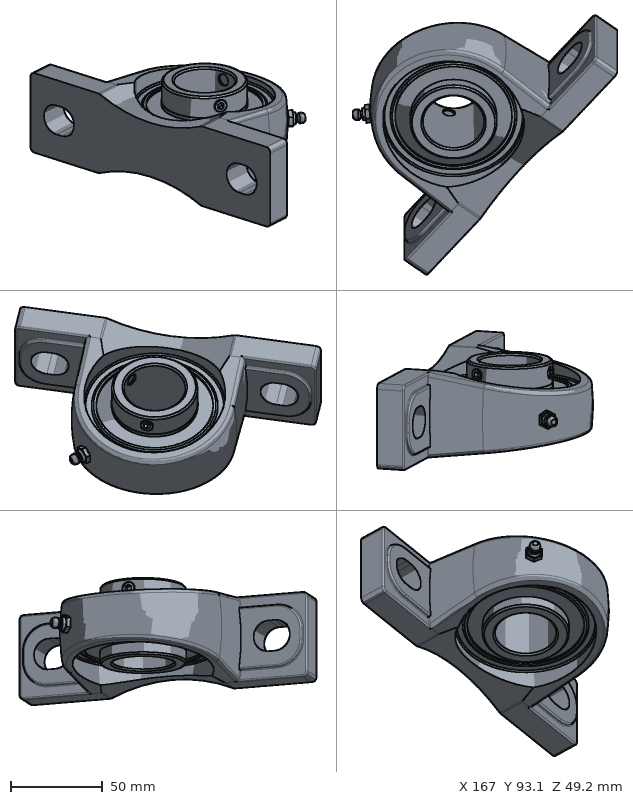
import cadquery as cq
import math


foot_length = 167.0
foot_height = 15.5
foot_width = 47.5
foot_corner_radius = 2.8
foot_edge_radius = 1.0
slot_offset = 63.6
slot_length = 20.9
slot_width = 17.2
pad_outer_x = 80.8
pad_inner_x = 33.4
pad_width = 34.7
pad_rise = 1.8
pad_corner_radius = 14.5
pad_edge_radius = 1.0
root_fillet_radius = 0.5

axis_height = 47.6
arch_radius = 45.5
arch_top = axis_height + arch_radius
arch_top_width = 26.4
barrel_radius = 116.9
side_flare_angle = 1.0
arch_edge_radius = 2.5
opening_diameter = 77.0
opening_chamfer = 0.8
floor_height = 10.4

scoop_radius = 86.8
scoop_depth = 7.7
scoop_blend_radius = 2.5

seat_diameter = 72.0
outer_ring_width = 22.0
outer_ring_bore = 63.8
outer_ring_chamfer = 0.8
seal_inner_height = 10.9
seal_outer_height = 9.9
seal_thickness = 1.5
inner_ring_bore = 33.4
collar_diameter = 46.8
shoulder_diameter = 47.3
collar_top = 25.4
shoulder_height = 12.9
inner_ring_bottom = 17.5
inner_ring_chamfer = 1.0

screw_angles = (90, -30)
screw_diameter = 6.8
screw_height = 19.5
screw_inner_radius = 17.7
screw_outer_radius = 24.2
socket_across_flats = 3.3
socket_depth = 3.0

nipple_angle = 45
nipple_hex_flats = 8.7
nipple_stem_start = 41.8
nipple_stem_diameter = 6.0
nipple_hex_start = 45.8
nipple_hex_end = 48.3
nipple_cone_end = 50.0
nipple_cone_diameters = (7.7, 6.3)
nipple_neck_diameter = 4.0
nipple_neck_end = 51.0
nipple_head_start = 52.1
nipple_head_end = 53.0
nipple_head_diameter = 6.0
nipple_tip_end = 55.3
nipple_tip_diameter = 3.0
nipple_dome_middle = 54.3
nipple_dome_diameter = 5.3

hexagon_sides = 6
across_corners = 2 / math.sqrt(3)
mirror_signs = (1, -1)
edge_margin = 0.2


def polar_plane(angle, height, radius):
    """Plane facing outward from the shaft axis, at an angle about it."""
    direction = cq.Vector(math.cos(math.radians(angle)), math.sin(math.radians(angle)), 0)
    origin = cq.Vector(0, axis_height, height) + direction * radius
    return cq.Plane(origin=origin, xDir=(0, 0, 1), normal=direction)


def revolved(points):
    """Ring about the shaft axis, from (radius, height) points."""
    ring = cq.Workplane("XZ").polyline(points).close().revolve(360, (0, 0), (0, 1))
    return ring.translate((0, axis_height, 0))


def make_arch():
    """Barrel-sided arch, thinning towards its crown, with rounded rims."""
    rim_slope = (foot_width - arch_top_width) / 2 / (arch_top - foot_height)
    base_half_width = foot_width / 2 + rim_slope * foot_height
    rim_radius = arch_radius - barrel_radius + math.sqrt(barrel_radius**2 - base_half_width**2)

    crown = (
        cq.Workplane("XZ")
        .moveTo(0, -base_half_width)
        .lineTo(rim_radius, -base_half_width)
        .threePointArc((arch_radius, 0), (rim_radius, base_half_width))
        .lineTo(0, base_half_width)
        .close()
        .revolve(360, (0, 0), (0, 1))
        .translate((0, axis_height, 0))
    )
    legs = (
        cq.Workplane("XZ", origin=(0, axis_height, 0))
        .moveTo(-rim_radius, -base_half_width)
        .lineTo(rim_radius, -base_half_width)
        .threePointArc((arch_radius, 0), (rim_radius, base_half_width))
        .lineTo(-rim_radius, base_half_width)
        .threePointArc((-arch_radius, 0), (-rim_radius, -base_half_width))
        .close()
        .extrude(axis_height, taper=-side_flare_angle)
    )
    wedge = (
        cq.Workplane("YZ")
        .moveTo(0, -base_half_width)
        .lineTo(arch_top, -arch_top_width / 2)
        .lineTo(arch_top, arch_top_width / 2)
        .lineTo(0, base_half_width)
        .close()
        .extrude(foot_length / 2, both=True)
    )
    above_axis = cq.Workplane("XY").box(foot_length, arch_top, foot_length)
    above_axis = above_axis.translate((0, axis_height + arch_top / 2, 0))
    arch = crown.intersect(above_axis).union(legs).intersect(wedge)
    front_rim = arch.faces(">Z").edges("not <Y")
    back_rim = arch.faces("<Z").edges("not <Y")
    arch = arch.newObject(front_rim.vals() + back_rim.vals()).fillet(arch_edge_radius)
    foot_slab = cq.Workplane("XY").box(foot_length, 2 * arch_top, foot_width)
    return arch.intersect(foot_slab)


def make_foot():
    """Rounded base slab with a raised pad around each mounting slot."""
    foot = (
        cq.Workplane("XY")
        .box(foot_length, foot_height, foot_width)
        .translate((0, foot_height / 2, 0))
        .edges("|Y")
        .fillet(foot_corner_radius)
        .faces(">Y")
        .edges()
        .fillet(foot_edge_radius)
    )
    pad_length = pad_outer_x - pad_inner_x
    for side in mirror_signs:
        pad = (
            cq.Workplane("XY")
            .box(pad_length, foot_height + pad_rise, pad_width)
            .translate((side * (pad_inner_x + pad_outer_x) / 2, (foot_height + pad_rise) / 2, 0))
            .edges("|Y")
            .edges(">X" if side > 0 else "<X")
            .fillet(pad_corner_radius)
            .faces(">Y")
            .edges()
            .fillet(pad_edge_radius)
        )
        foot = foot.union(pad)
    return foot


def make_opening(side):
    """Cutter for the round opening on one side of the central web; side is the sign of its Z."""
    opening_radius = opening_diameter / 2
    return revolved(
        [
            (0, side * floor_height),
            (opening_radius - opening_chamfer, side * floor_height),
            (opening_radius, side * (floor_height + opening_chamfer)),
            (opening_radius, side * foot_width),
            (0, side * foot_width),
        ]
    )


def cut_scoop(housing, side):
    """Hollow one long face of the housing by a cylinder and round the two edges where it runs out."""
    face_z = side * foot_width / 2
    scoop_axis_z = face_z + side * (scoop_radius - scoop_depth)
    scoop = cq.Workplane("XZ", origin=(0, 0, scoop_axis_z)).circle(scoop_radius).extrude(-arch_top)
    housing = housing.cut(scoop)
    half_chord = math.sqrt(scoop_radius**2 - (scoop_radius - scoop_depth) ** 2)
    run_out_box = cq.selectors.BoxSelector(
        (-half_chord - edge_margin, -edge_margin, face_z - edge_margin),
        (half_chord + edge_margin, foot_height + edge_margin, face_z + edge_margin),
        boundingbox=True,
    )
    run_out_edges = housing.edges(run_out_box).edges("|Y")
    return housing.newObject(run_out_edges.vals()).fillet(scoop_blend_radius)


def cut_slots(housing):
    """Mounting slots through the foot and its pads."""
    slots = (
        cq.Workplane("XZ")
        .pushPoints([(side * slot_offset, 0) for side in mirror_signs])
        .slot2D(slot_length, slot_width)
        .extrude(-(foot_height + pad_rise))
    )
    return housing.cut(slots)


def fillet_roots(housing):
    """Fillet the inner corners where the pads and the arch sides rise from the top of the foot."""
    reach_x = pad_outer_x + edge_margin
    reach_z = foot_width / 2 - foot_edge_radius - edge_margin
    root_box = cq.selectors.BoxSelector(
        (-reach_x, foot_height - edge_margin, -reach_z),
        (reach_x, foot_height + edge_margin, reach_z),
        boundingbox=True,
    )
    return housing.newObject(housing.edges(root_box).vals()).fillet(root_fillet_radius)


def make_housing(nipple):
    """Foot and arch in one casting, with the bearing seat and a hole for the nipple."""
    housing = fillet_roots(make_foot().union(make_arch()))
    for side in mirror_signs:
        housing = cut_scoop(housing, side)
        housing = housing.cut(make_opening(side))
    seat = cq.Workplane("XY", origin=(0, axis_height, 0)).sphere(seat_diameter / 2)
    return cut_slots(housing.cut(seat)).cut(nipple)


def make_outer_ring():
    """Ring with a spherical outside that fits the seat of the housing."""
    half_width = outer_ring_width / 2
    bore_radius = outer_ring_bore / 2
    seat_radius = seat_diameter / 2
    face_radius = math.sqrt(seat_radius**2 - half_width**2) - outer_ring_chamfer
    chamfer_z = half_width - outer_ring_chamfer
    rim_radius = math.sqrt(seat_radius**2 - chamfer_z**2)
    return (
        cq.Workplane("XZ")
        .moveTo(bore_radius, -half_width)
        .lineTo(face_radius, -half_width)
        .lineTo(rim_radius, -chamfer_z)
        .threePointArc((seat_radius, 0), (rim_radius, chamfer_z))
        .lineTo(face_radius, half_width)
        .lineTo(bore_radius, half_width)
        .close()
        .revolve(360, (0, 0), (0, 1))
        .translate((0, axis_height, 0))
    )


def make_inner_ring():
    """Collar with a shoulder between the seals and a radial hole for each set screw."""
    bore = inner_ring_bore / 2
    collar = collar_diameter / 2
    shoulder = shoulder_diameter / 2
    chamfer = inner_ring_chamfer
    ring = revolved(
        [
            (bore, chamfer - inner_ring_bottom),
            (bore + chamfer, -inner_ring_bottom),
            (shoulder - chamfer, -inner_ring_bottom),
            (shoulder, chamfer - inner_ring_bottom),
            (shoulder, shoulder_height),
            (collar, shoulder_height),
            (collar, collar_top - chamfer),
            (collar - chamfer, collar_top),
            (bore + chamfer, collar_top),
            (bore, collar_top - chamfer),
        ]
    )
    for angle in screw_angles:
        hole = (
            cq.Workplane(polar_plane(angle, screw_height, 0))
            .circle(screw_diameter / 2)
            .extrude(collar_diameter)
        )
        ring = ring.cut(hole)
    return ring


def make_seal(side):
    """Slightly conical sealing plate between the rings; side is the sign of its Z."""
    inner = shoulder_diameter / 2
    outer = outer_ring_bore / 2
    return revolved(
        [
            (inner, side * (seal_inner_height - seal_thickness)),
            (outer, side * (seal_outer_height - seal_thickness)),
            (outer, side * seal_outer_height),
            (inner, side * seal_inner_height),
        ]
    )


def make_set_screw(angle):
    """Headless screw standing slightly out of the collar, with a hexagon socket."""
    socket_plane = polar_plane(angle, screw_height, screw_outer_radius)
    socket = cq.Workplane(socket_plane).polygon(hexagon_sides, socket_across_flats * across_corners)
    return (
        cq.Workplane(polar_plane(angle, screw_height, screw_inner_radius))
        .circle(screw_diameter / 2)
        .extrude(screw_outer_radius - screw_inner_radius)
        .cut(socket.extrude(-socket_depth))
    )


def make_nipple():
    """Stem seated in the housing, then a hexagon, a conical shoulder, a neck and a domed head."""
    hexagon = (
        cq.Workplane(polar_plane(nipple_angle, 0, nipple_hex_start))
        .polygon(hexagon_sides, nipple_hex_flats * across_corners)
        .extrude(nipple_hex_end - nipple_hex_start)
    )
    stem = (
        cq.Workplane(polar_plane(nipple_angle, 0, nipple_stem_start))
        .circle(nipple_stem_diameter / 2)
        .extrude(nipple_hex_start - nipple_stem_start)
    )
    head = (
        cq.Workplane("XY")
        .moveTo(nipple_hex_end, 0)
        .lineTo(nipple_hex_end, nipple_cone_diameters[0] / 2)
        .lineTo(nipple_cone_end, nipple_cone_diameters[1] / 2)
        .lineTo(nipple_cone_end, nipple_neck_diameter / 2)
        .lineTo(nipple_neck_end, nipple_neck_diameter / 2)
        .lineTo(nipple_head_start, nipple_head_diameter / 2)
        .lineTo(nipple_head_end, nipple_head_diameter / 2)
        .threePointArc(
            (nipple_dome_middle, nipple_dome_diameter / 2), (nipple_tip_end, nipple_tip_diameter / 2)
        )
        .lineTo(nipple_tip_end, 0)
        .close()
        .revolve(360, (0, 0), (1, 0))
        .rotate((0, 0, 0), (0, 0, 1), nipple_angle)
        .translate((0, axis_height, 0))
    )
    return stem.union(hexagon).union(head)


nipple = make_nipple()
housing = make_housing(nipple)
outer_ring = make_outer_ring()
set_screws = [make_set_screw(angle) for angle in screw_angles]
inner_ring = make_inner_ring()
seals = [make_seal(side) for side in mirror_signs]

result = cq.Compound.makeCompound(
    [
        housing.val(),
        outer_ring.val(),
        inner_ring.val(),
        nipple.val(),
        *[seal.val() for seal in seals],
        *[screw.val() for screw in set_screws],
    ]
)